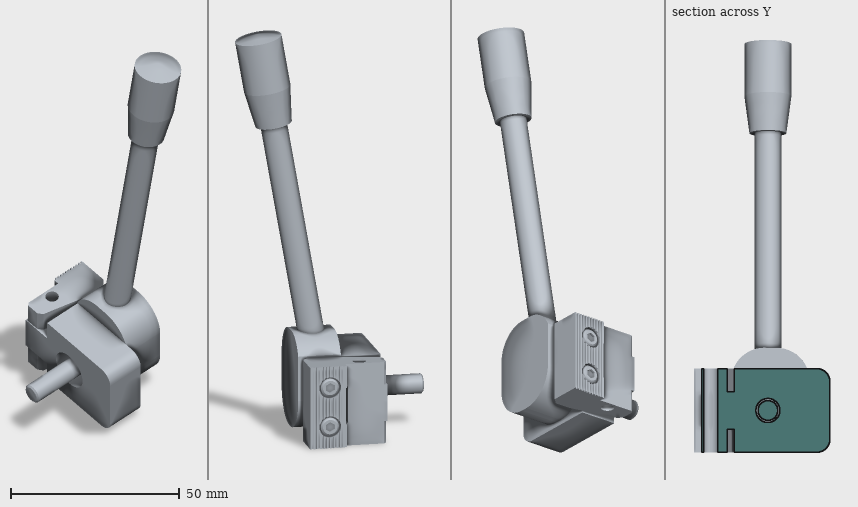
import cadquery as cq
import math


body_height = 25.0
body_depth = 12.0
body_left = -10.0
body_right = 18.5
corner_radius = 4.0
tongue_height = 11.2
tongue_left = -19.75

stud_diameter = 6.0
stud_length = 15.0
stud_chamfer = 0.5
recess_diameter = 12.0
recess_depth = 5.0
clearance_diameter = 7.0

pad_left = -22.0
jaw_front = 0.3
jaw_back = 24.0
pad_front = 12.8
jaw_edge_chamfer = 0.8
nose_right = -14.9
slope_start_x = -13.4
slope_start_y = 1.4
slope_end_y = 17.0
back_chamfer = 2.0
slot_end = 13.0
pivot_x = -17.0
pivot_y = 8.0
pivot_diameter = 4.0

tooth_pitch = 1.0
tooth_depth = 0.5

screw_y = 17.9
screw_spacing = 12.0
screw_hole_diameter = 6.5
screw_hole_depth = 1.5
head_diameter = 5.5
head_flat_diameter = 4.4
head_height = 1.3
socket_across_corners = 3.0
socket_depth = 0.8

cam_depth = 13.0
cam_top = 18.6
cam_bottom = -11.0
cam_flat_width = 2.6
cam_right_radius = 9.8
cam_left_upper_z = 13.0
cam_left_mid_x = -6.2
cam_left_mid_z = 17.2
cam_left_lower_radius = 10.4

lever_tilt = 10.0
lever_base_z = 15.77
lever_length = 94.53
lever_diameter = 8.0
grip_diameter = 14.0
grip_end_diameter = 11.0
grip_straight_length = 15.7
grip_taper_length = 11.2
grip_crown_height = 1.23


def cylinder_along_y(diameter, start_y, end_y):
    """Cylinder on the stud axis between two Y positions."""
    return (
        cq.Workplane("XZ", origin=(0, start_y, 0))
        .circle(diameter / 2)
        .extrude(start_y - end_y)
    )


def make_body():
    """Block with rounded right-hand edges, a tongue and a stepped hole."""
    block = (
        cq.Workplane("XY")
        .box(body_right - body_left, body_depth, body_height, centered=(False, False, True))
        .translate((body_left, 0, 0))
        .edges("|Y and >X")
        .fillet(corner_radius)
    )
    tongue = (
        cq.Workplane("XY")
        .box(body_left - tongue_left, body_depth, tongue_height, centered=(False, False, True))
        .translate((tongue_left, 0, 0))
    )
    recess = cylinder_along_y(recess_diameter, 0, recess_depth)
    clearance = cylinder_along_y(clearance_diameter, 0, body_depth)
    return block.union(tongue).cut(recess).cut(clearance)


def make_stud():
    """Stud that starts on the cam and sticks out of the front face."""
    stud = cylinder_along_y(stud_diameter, -stud_length, body_depth + cam_depth / 2)
    return stud.faces("<Y").chamfer(stud_chamfer)


def make_screw_hole(z):
    """Pocket in the pad around one screw head."""
    return (
        cq.Workplane("YZ", origin=(pad_left, screw_y, z))
        .circle(screw_hole_diameter / 2)
        .extrude(screw_hole_depth)
    )


def make_screw_head(z):
    """Bevelled screw head with a hexagon socket, standing on the pocket floor."""
    floor_x = pad_left + screw_hole_depth
    edge_chamfer = (head_diameter - head_flat_diameter) / 2
    head = (
        cq.Workplane("YZ", origin=(floor_x, screw_y, z))
        .circle(head_diameter / 2)
        .extrude(-head_height)
        .faces("<X")
        .edges()
        .chamfer(edge_chamfer)
    )
    socket = (
        cq.Workplane("YZ", origin=(floor_x - head_height, screw_y, z))
        .transformed(rotate=(0, 0, 90))
        .polygon(6, socket_across_corners)
        .extrude(socket_depth)
    )
    return head.cut(socket)


def pad_teeth():
    """Points of the grooved pad face, back to front; the last groove runs out to the pad's front."""
    tooth_count = round((jaw_back - pad_front) / tooth_pitch)
    groove_x = pad_left + tooth_depth
    points = []
    for index in range(tooth_count):
        tooth_back = jaw_back - index * tooth_pitch
        tooth_front = tooth_back - tooth_pitch / 2
        points.append((pad_left, tooth_back))
        points.append((pad_left, tooth_front))
        points.append((groove_x, tooth_front))
        points.append((groove_x, tooth_back - tooth_pitch))
    points[-1] = (groove_x, pad_front)
    return points


def make_jaw():
    """Jaw that straddles the tongue, with a grooved pad and two screws."""
    outline = pad_teeth() + [
        (tongue_left, pad_front),
        (tongue_left, jaw_front + jaw_edge_chamfer),
        (tongue_left + jaw_edge_chamfer, jaw_front),
        (nose_right, jaw_front),
        (slope_start_x, slope_start_y),
        (body_left, slope_end_y),
        (body_left, jaw_back - back_chamfer),
        (body_left - back_chamfer, jaw_back),
    ]
    jaw = (
        cq.Workplane("XY", origin=(0, 0, -body_height / 2))
        .polyline(outline)
        .close()
        .extrude(body_height)
    )
    slot = (
        cq.Workplane("XY")
        .box(body_left - pad_left, slot_end, tongue_height, centered=(False, False, True))
        .translate((pad_left, 0, 0))
    )
    jaw = jaw.cut(slot)
    for z in (-screw_spacing / 2, screw_spacing / 2):
        jaw = jaw.cut(make_screw_hole(z)).union(make_screw_head(z))
    return jaw


def make_pivot_hole():
    """Pivot bore through the jaw and the tongue."""
    return (
        cq.Workplane("XY", origin=(pivot_x, pivot_y, -body_height / 2))
        .circle(pivot_diameter / 2)
        .extrude(body_height)
    )


def make_cam():
    """Cam plate with a flat side against the jaw and a short flat on top."""
    cam_right = cam_flat_width + cam_right_radius
    diagonal = math.sqrt(0.5)
    upper_z = cam_top - cam_right_radius
    lower_z = cam_bottom + cam_right_radius
    bulge = cam_flat_width + cam_right_radius * diagonal
    left_lower_x = body_left + cam_left_lower_radius
    left_lower_z = cam_bottom + cam_left_lower_radius
    return (
        cq.Workplane("XZ", origin=(0, body_depth, 0))
        .moveTo(body_left, left_lower_z)
        .lineTo(body_left, cam_left_upper_z)
        .threePointArc((cam_left_mid_x, cam_left_mid_z), (0, cam_top))
        .lineTo(cam_flat_width, cam_top)
        .threePointArc((bulge, upper_z + cam_right_radius * diagonal), (cam_right, upper_z))
        .lineTo(cam_right, lower_z)
        .threePointArc((bulge, lower_z - cam_right_radius * diagonal), (cam_flat_width, cam_bottom))
        .lineTo(left_lower_x, cam_bottom)
        .threePointArc(
            (
                left_lower_x - cam_left_lower_radius * diagonal,
                left_lower_z - cam_left_lower_radius * diagonal,
            ),
            (body_left, left_lower_z),
        )
        .close()
        .extrude(-cam_depth)
    )


def make_lever():
    """Round lever with a tapered grip and a shallow conical crown, tilted towards +Y."""
    taper_end = lever_length - grip_straight_length
    grip_start = taper_end - grip_taper_length
    lever = (
        cq.Workplane("XZ")
        .polyline([
            (0, 0),
            (lever_diameter / 2, 0),
            (lever_diameter / 2, grip_start),
            (grip_end_diameter / 2, grip_start),
            (grip_diameter / 2, taper_end),
            (grip_diameter / 2, lever_length),
            (0, lever_length + grip_crown_height),
        ])
        .close()
        .revolve(360, (0, 0, 0), (0, 1, 0))
    )
    return (
        lever.rotate((0, 0, 0), (1, 0, 0), -lever_tilt)
        .translate((0, body_depth + cam_depth / 2, lever_base_z))
    )


clamp = make_body().union(make_jaw()).cut(make_pivot_hole())
result = clamp.union(make_cam()).union(make_stud()).union(make_lever())